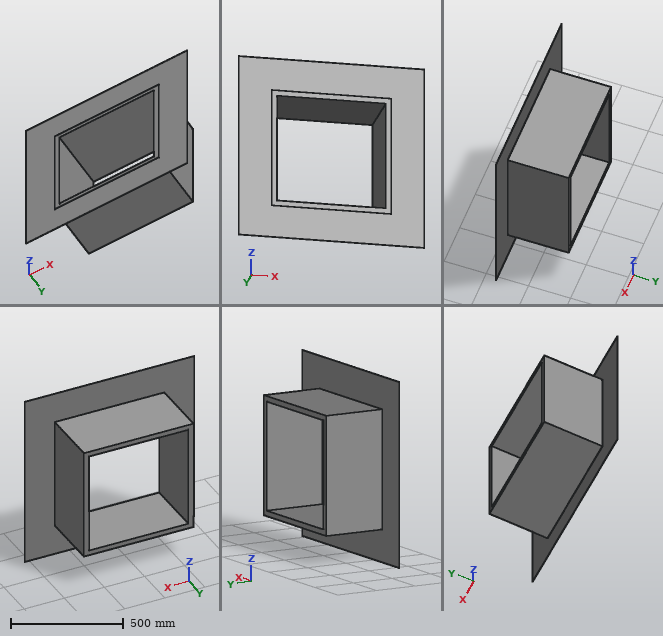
import cadquery as cq

flange_side = 845.0
flange_thickness = 1.0
duct_side = 546.0
duct_wall = 25.0
overall_depth = 290.0

duct_opening = duct_side - 2 * duct_wall
front_y = -overall_depth / 2


def square_ring(outer_side, inner_side, depth):
    """Square frame around the Y axis, reaching from the front face toward +Y."""
    return (
        cq.Workplane("XZ", origin=(0, front_y, 0))
        .rect(outer_side, outer_side)
        .rect(inner_side, inner_side)
        .extrude(-depth)
    )


duct = square_ring(duct_side, duct_opening, overall_depth)

flange = square_ring(flange_side, duct_side, flange_thickness)

result = cq.Compound.makeCompound([duct.val(), flange.val()])